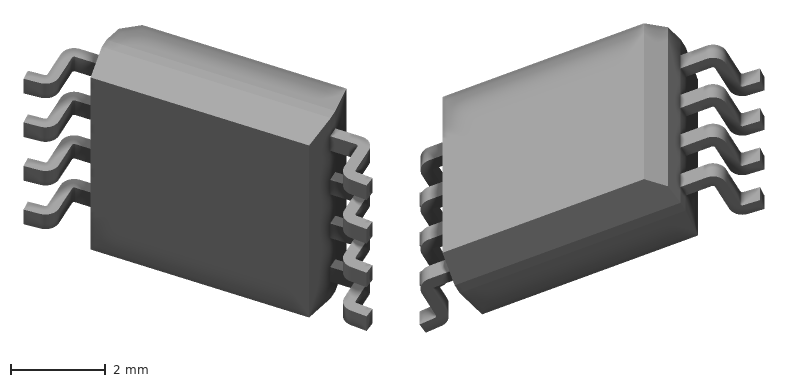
import cadquery as cq
import math


housing_width = 5.3
housing_height = 5.24
band_thickness = 0.24
draft_depth = 0.84
draft_inset = 0.12
bevel_depth = 0.36
bevel_width = 0.335

band_top = band_thickness / 2
housing_top = band_top + draft_depth
draft_angle = math.degrees(math.atan(draft_inset / draft_depth))

leads_per_row = 4
lead_pitch = 1.27
lead_width = 0.42
lead_thickness = 0.26
lead_reach = 3.99
leg_outer_x = 3.57
inner_bend_radius = 0.05
foot_tilt = math.radians(4)
overall_depth = 2.16

lead_top = band_top
seat_y = housing_top - overall_depth
outer_bend_radius = inner_bend_radius + lead_thickness
lead_root_x = housing_width / 2


def make_housing():
    """Straight middle band with a tapered half on each side and one bevelled edge."""
    band = (
        cq.Workplane("XZ")
        .rect(housing_width, housing_height)
        .extrude(band_thickness / 2, both=True)
    )
    lower_half = (
        cq.Workplane("XZ", origin=(0, -band_top, 0))
        .rect(housing_width, housing_height)
        .extrude(draft_depth, taper=draft_angle)
    )
    upper_half = lower_half.mirror("XZ")
    return band.union(lower_half).union(upper_half).cut(make_bevel_cutter())


def make_bevel_cutter():
    """Prism that takes the bevel off the -X edge of the +Y face, along all of Z."""
    top_edge_x = -housing_width / 2 + draft_inset
    side_y = housing_top - bevel_depth
    side_x = top_edge_x - draft_inset * bevel_depth / draft_depth
    return (
        cq.Workplane("XY")
        .moveTo(top_edge_x + bevel_width, housing_top)
        .lineTo(side_x, housing_top)
        .lineTo(side_x, side_y)
        .close()
        .extrude(housing_height / 2, both=True)
    )


def make_lead():
    """Gull-wing lead of the +X row, centred on Z = 0 and butting on the housing band."""
    tilt_sin = math.sin(foot_tilt)
    tilt_cos = math.cos(foot_tilt)
    leg_inner_x = leg_outer_x - lead_thickness

    shoulder_x = leg_inner_x - inner_bend_radius
    shoulder_y = lead_top - outer_bend_radius
    heel_x = leg_outer_x + inner_bend_radius
    foot_length = (lead_reach - heel_x + inner_bend_radius * tilt_sin) / tilt_cos
    heel_y = seat_y + outer_bend_radius * tilt_cos + foot_length * tilt_sin

    def foot_point(along, below):
        """Point of the tilted foot, measured along it and square below the heel centre."""
        x = heel_x + along * tilt_cos - below * tilt_sin
        y = heel_y - along * tilt_sin - below * tilt_cos
        return (x, y)

    return (
        cq.Workplane("XY")
        .moveTo(lead_root_x, lead_top)
        .lineTo(shoulder_x, lead_top)
        .tangentArcPoint((leg_outer_x, shoulder_y), relative=False)
        .lineTo(leg_outer_x, heel_y)
        .tangentArcPoint(foot_point(0, inner_bend_radius), relative=False)
        .lineTo(*foot_point(foot_length, inner_bend_radius))
        .lineTo(*foot_point(foot_length, outer_bend_radius))
        .lineTo(*foot_point(0, outer_bend_radius))
        .tangentArcPoint((leg_inner_x, heel_y), relative=False)
        .lineTo(leg_inner_x, shoulder_y)
        .tangentArcPoint((shoulder_x, lead_top - lead_thickness), relative=False)
        .lineTo(lead_root_x, lead_top - lead_thickness)
        .close()
        .extrude(lead_width / 2, both=True)
    )


housing = make_housing()

right_lead = make_lead()
left_lead = right_lead.mirror("YZ")
leads = []
for index in range(leads_per_row):
    lead_z = (index - (leads_per_row - 1) / 2) * lead_pitch
    for lead in (right_lead, left_lead):
        leads.append(lead.translate((0, 0, lead_z)).val())

result = cq.Compound.makeCompound([housing.val(), *leads])